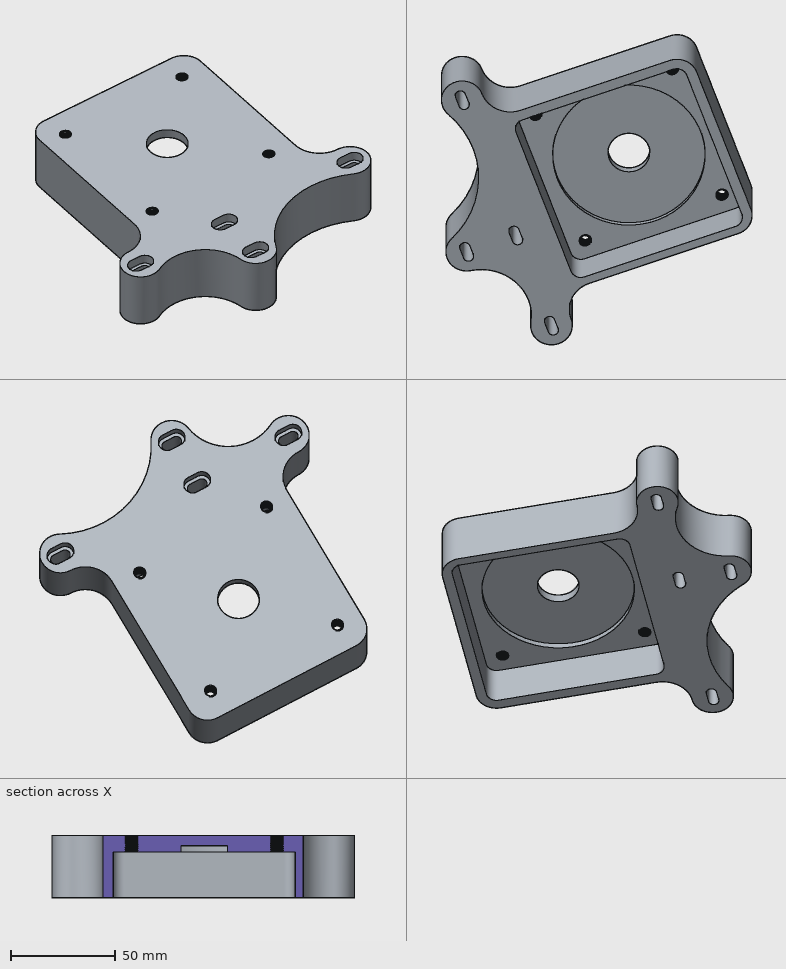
import cadquery as cq
import math

thickness = 30.0
body_half = 48.0
corner_radius = 10.0

ear_radius = 10.0
ear_x = 62.5
ear_y = 62.5
nose_offset = 25.0
nose_x = ear_x + nose_offset
nose_y = -12.5
upper_sweep_radius = 45.0
lower_sweep_radius = 24.0

motor_pocket_side = 87.0
motor_pocket_corner = 5.0
housing_wall = 5.0
motor_axis_x = housing_wall + motor_pocket_side / 2 - body_half
motor_axis_y = -motor_axis_x
shaft_hole_diameter = 20.0
shaft_web = 5.0
pilot_diameter = 73.0
pilot_depth = 3.0
motor_plate = shaft_web + pilot_depth

screw_square = 69.6
thread_pitch = 1.0
thread_minor_diameter = 5.03
thread_major_diameter = 6.0
thread_root_flat = thread_pitch / 8
thread_half_angle = math.radians(30)
thread_overlap = 0.1
thread_overrun = thread_pitch

slot_width = 5.0
slot_length = 10.0
slot_recess_width = 8.5
slot_recess_length = slot_length + slot_recess_width - slot_width
slot_recess_depth = 5.0

upper_ear = (ear_x, ear_y)
lower_ear = (ear_x, -ear_y)
nose_ear = (nose_x, nose_y)


def toward(start, end, distance):
    """Point at the given distance from start on the ray to end."""
    scale = distance / math.dist(start, end)
    return (start[0] + (end[0] - start[0]) * scale, start[1] + (end[1] - start[1]) * scale)


def sweep_center(first, second, radius):
    """Centre, on the +X side, of the arc tangent to the outside of two ears."""
    span = math.dist(first, second)
    reach = math.sqrt((radius + ear_radius) ** 2 - (span / 2) ** 2)
    middle_x = (first[0] + second[0]) / 2
    middle_y = (first[1] + second[1]) / 2
    normal_x = abs(first[1] - second[1]) / span
    normal_y = (first[0] - second[0]) / span * math.copysign(1, second[1] - first[1])
    return (middle_x + normal_x * reach, middle_y + normal_y * reach)


def outline():
    """Closed outline, counter-clockwise from the lower left corner."""
    neck_radius = ear_y - body_half
    neck_x = ear_x - ear_radius - neck_radius
    ear_left = ear_x - ear_radius
    corner_start = body_half - corner_radius
    diagonal = math.sqrt(0.5)
    corner_mid = corner_start + corner_radius * diagonal
    neck_mid_x = neck_x + neck_radius * diagonal
    neck_mid_y = ear_y - neck_radius * diagonal

    lower_sweep = sweep_center(lower_ear, nose_ear, lower_sweep_radius)
    upper_sweep = sweep_center(nose_ear, upper_ear, upper_sweep_radius)
    lower_middle = toward(lower_sweep, ((ear_x + nose_x) / 2, (nose_y - ear_y) / 2), lower_sweep_radius)
    upper_middle = toward(upper_sweep, ((ear_x + nose_x) / 2, (nose_y + ear_y) / 2), upper_sweep_radius)

    return (
        cq.Workplane("XY")
        .moveTo(-corner_start, -body_half)
        .lineTo(neck_x, -body_half)
        .threePointArc((neck_mid_x, -neck_mid_y), (ear_left, -ear_y))
        .threePointArc((ear_x, -ear_y - ear_radius), toward(lower_ear, lower_sweep, ear_radius))
        .threePointArc(lower_middle, toward(nose_ear, lower_sweep, ear_radius))
        .threePointArc((nose_x + ear_radius, nose_y), toward(nose_ear, upper_sweep, ear_radius))
        .threePointArc(upper_middle, toward(upper_ear, upper_sweep, ear_radius))
        .threePointArc((ear_x, ear_y + ear_radius), (ear_left, ear_y))
        .threePointArc((neck_mid_x, neck_mid_y), (neck_x, body_half))
        .lineTo(-corner_start, body_half)
        .threePointArc((-corner_mid, corner_mid), (-body_half, corner_start))
        .lineTo(-body_half, -corner_start)
        .threePointArc((-corner_mid, -corner_mid), (-corner_start, -body_half))
        .close()
    )


def thread_groove():
    """Helical V-groove cutter on the Z axis, running past both faces of the motor plate."""
    inner_radius = thread_minor_diameter / 2 - thread_overlap
    outer_radius = thread_major_diameter / 2
    outer_half = thread_root_flat / 2
    inner_half = outer_half + (outer_radius - inner_radius) * math.tan(thread_half_angle)
    length = motor_plate + 2 * thread_overrun
    helix = cq.Wire.makeHelix(thread_pitch, length, inner_radius)
    groove = (
        cq.Workplane("XZ")
        .polyline([
            (inner_radius, -inner_half),
            (outer_radius, -outer_half),
            (outer_radius, outer_half),
            (inner_radius, inner_half),
        ])
        .close()
        .sweep(cq.Workplane(helix), isFrenet=True)
    )
    return groove.translate((0, 0, thickness - motor_plate - thread_overrun))


def cut_motor_seat(part):
    """Square motor pocket and pilot recess from below, and the shaft hole through the top."""
    base = cq.Workplane("XY", origin=(motor_axis_x, motor_axis_y))
    pocket = (
        base.rect(motor_pocket_side, motor_pocket_side)
        .extrude(thickness - motor_plate)
        .edges("|Z")
        .fillet(motor_pocket_corner)
    )
    pilot = base.circle(pilot_diameter / 2).extrude(thickness - shaft_web)
    shaft_hole = base.circle(shaft_hole_diameter / 2).extrude(thickness)
    return part.cut(pocket).cut(pilot).cut(shaft_hole)


def cut_screw_holes(part):
    """Four threaded holes through the motor plate, on a square around the motor axis."""
    bore = cq.Workplane("XY").circle(thread_minor_diameter / 2).extrude(thickness)
    groove = thread_groove()
    for side_x in (-1, 1):
        for side_y in (-1, 1):
            place = (
                motor_axis_x + side_x * screw_square / 2,
                motor_axis_y + side_y * screw_square / 2,
                0,
            )
            part = part.cut(groove.translate(place)).cut(bore.translate(place))
    return part


def cut_slots(part):
    """Stepped slots in the three ears and one inboard of the side ear."""
    centers = [upper_ear, lower_ear, nose_ear, (ear_x, nose_y)]
    along_y = 90
    slots = cq.Workplane("XY").pushPoints(centers).slot2D(slot_length, slot_width, along_y).extrude(thickness)
    recesses = (
        cq.Workplane("XY")
        .workplane(offset=thickness - slot_recess_depth)
        .pushPoints(centers)
        .slot2D(slot_recess_length, slot_recess_width, along_y)
        .extrude(slot_recess_depth)
    )
    return part.cut(slots).cut(recesses)


result = outline().extrude(thickness)
result = cut_motor_seat(result)
result = cut_screw_holes(result)
result = cut_slots(result)